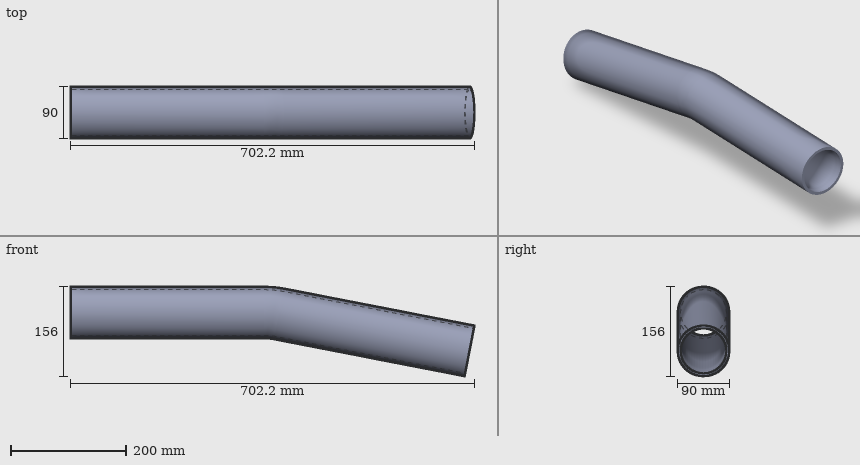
import cadquery as cq
import math

outer_diameter = 90.0
bore_diameter = 79.0
leg_length = 337.0
bend_angle = 11.0
bend_radius = 1.5 * outer_diameter

angle = math.radians(bend_angle)
bend_start = (leg_length, 0)


def point_on_bend(turned):
    """Centreline point after the bend has turned through the given angle."""
    return (
        leg_length + bend_radius * math.sin(turned),
        -bend_radius * (1 - math.cos(turned)),
    )


bend_middle = point_on_bend(angle / 2)
bend_end = point_on_bend(angle)
far_end = (
    bend_end[0] + leg_length * math.cos(angle),
    bend_end[1] - leg_length * math.sin(angle),
)

centreline = (
    cq.Workplane("XZ")
    .lineTo(*bend_start)
    .threePointArc(bend_middle, bend_end)
    .lineTo(*far_end)
)

result = (
    cq.Workplane("YZ")
    .circle(outer_diameter / 2)
    .circle(bore_diameter / 2)
    .sweep(centreline)
)